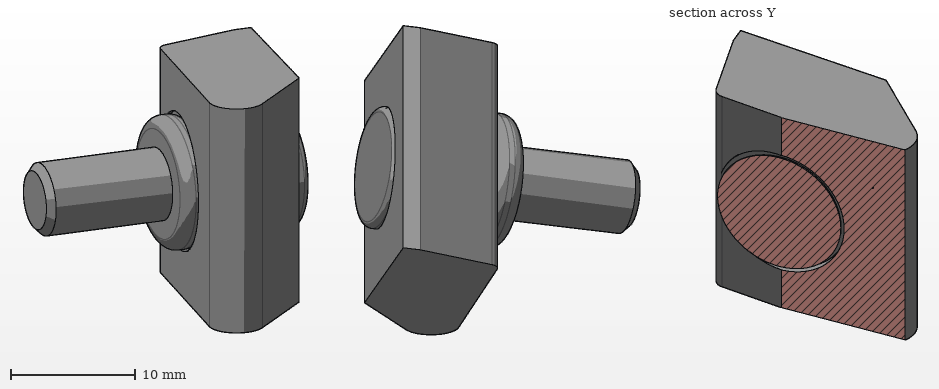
import cadquery as cq
import math


block_height = 19.0
left_x = -7.6
left_top_y = 11.32
left_edge_y = 9.85
back_corner_x = 5.85
back_angle = 6.2
front_angle = 7.0
left_angle = 12.0
nose_angle = 47.0
front_axis_y = 1.81
nose_radius = 2.28
left_corner_radius = 1.0

screw_diameter = 6.0
screw_tip_y = -10.78
screw_chamfer = 0.6
collar_diameter = 11.0
collar_thickness = 2.48
collar_radius = 1.0
seat_diameter = 11.4
head_diameter = 9.9
head_back_y = 11.18
head_radius = 0.49


def crossing(first, first_slope, second, second_slope):
    """Intersection of two lines, each given by a point and dy/dx."""
    offset = second[1] - first[1] + first_slope * first[0] - second_slope * second[0]
    x = offset / (first_slope - second_slope)
    return x, first[1] + first_slope * (x - first[0])


def disc(diameter, start_y, end_y):
    """Cylinder on the Y axis between two Y positions."""
    sketch = cq.Workplane("XZ", origin=(0, end_y, 0)).circle(diameter / 2)
    return sketch.extrude(end_y - start_y)


def make_block():
    back_slope = -math.tan(math.radians(back_angle))
    front_slope = -math.tan(math.radians(front_angle))
    nose_slope = -math.tan(math.radians(nose_angle))
    left_slope = -1 / math.tan(math.radians(left_angle))

    left_edge = (left_x, left_edge_y)
    back_corner = (back_corner_x, left_top_y + back_slope * (back_corner_x - left_x))
    front_point = (0, front_axis_y)
    nose_tip = crossing(back_corner, nose_slope, front_point, front_slope)
    front_left = crossing(left_edge, left_slope, front_point, front_slope)

    outline = [(left_x, left_top_y), back_corner, nose_tip, front_left, left_edge]
    block = (
        cq.Workplane("XY", origin=(0, 0, -block_height / 2))
        .polyline(outline)
        .close()
        .extrude(block_height)
    )
    block = block.edges(cq.NearestToPointSelector((*nose_tip, 0))).fillet(nose_radius)
    return block.edges(cq.NearestToPointSelector((*front_left, 0))).fillet(left_corner_radius)


def make_collar():
    return disc(collar_diameter, 0, collar_thickness).faces("<Y or >Y").edges().fillet(collar_radius)


def make_screw():
    return disc(screw_diameter, screw_tip_y, collar_thickness).faces("<Y").edges().chamfer(screw_chamfer)


def make_head():
    return disc(head_diameter, collar_thickness, head_back_y).faces(">Y").edges().fillet(head_radius)


seat = disc(seat_diameter, 0, collar_thickness)
result = make_block().cut(seat).union(make_collar()).union(make_screw()).union(make_head())